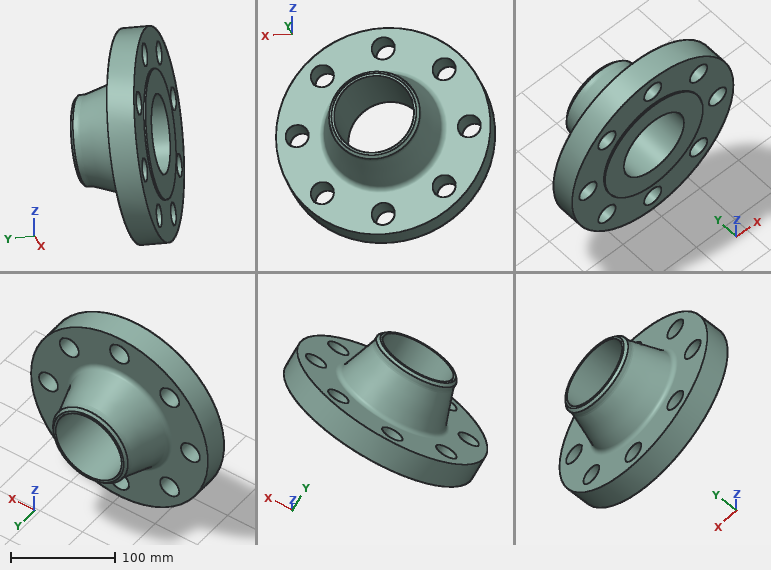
import cadquery as cq

flange_diameter = 209.5
flange_thickness = 26.8
raised_face_diameter = 127.0
raised_face_height = 1.7
bore_diameter = 78.0
total_length = 79.2

hub_base_diameter = 117.0
hub_fillet_radius = 5.7
neck_diameter = 88.8
neck_length = 8.5
weld_bevel = 3.0

bolt_count = 8
bolt_circle_diameter = 168.0
bolt_hole_diameter = 22.5

flange_front = raised_face_height
flange_back = flange_front + flange_thickness
neck_start = total_length - neck_length
bevel_start = total_length - weld_bevel

hub_base_radius = hub_base_diameter / 2
neck_radius = neck_diameter / 2


def revolved_body():
    """Revolve the half section (radius along X, axis along Y)."""
    bore_radius = bore_diameter / 2
    flange_radius = flange_diameter / 2
    raised_face_radius = raised_face_diameter / 2
    return (
        cq.Workplane("XY")
        .moveTo(bore_radius, 0)
        .lineTo(raised_face_radius, 0)
        .lineTo(raised_face_radius, flange_front)
        .lineTo(flange_radius, flange_front)
        .lineTo(flange_radius, flange_back)
        .lineTo(hub_base_radius, flange_back)
        .lineTo(neck_radius, neck_start)
        .lineTo(neck_radius, bevel_start)
        .lineTo(neck_radius - weld_bevel, total_length)
        .lineTo(bore_radius, total_length)
        .close()
        .revolve(360, (0, 0, 0), (0, 1, 0))
    )


def bolt_holes():
    """Through holes evenly spaced on the bolt circle."""
    return (
        cq.Workplane("XZ")
        .polarArray(bolt_circle_diameter / 2, 0, 360, bolt_count)
        .circle(bolt_hole_diameter / 2)
        .extrude(-total_length)
    )


def fillet_hub_corner(body, corner_position):
    """Round the inside corner circle of the hub at the given distance along the axis."""
    reach = 0.2
    corner_slab = cq.selectors.BoxSelector(
        (-hub_base_diameter, corner_position - reach, -hub_base_diameter),
        (hub_base_diameter, corner_position + reach, hub_base_diameter),
    )
    return body.faces("%CONE").edges(corner_slab).fillet(hub_fillet_radius)


body = revolved_body()
for corner_position in (flange_back, neck_start):
    body = fillet_hub_corner(body, corner_position)

result = body.cut(bolt_holes())